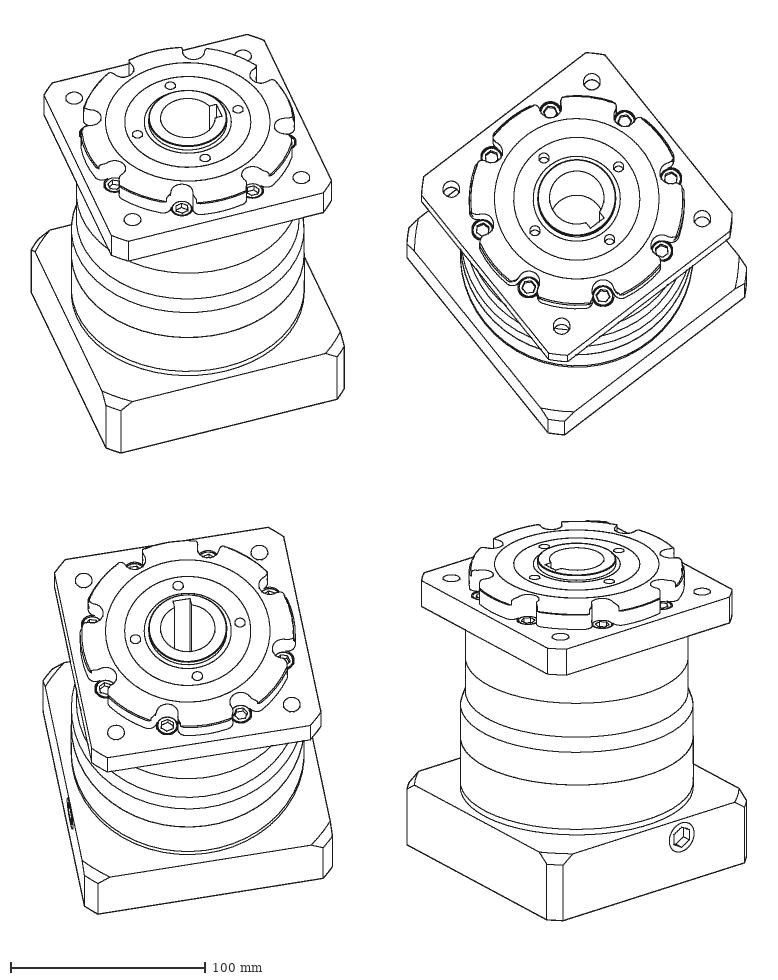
import cadquery as cq
import math


bevel_bottom_z = 31.5
plate_top_z = 36.1
adapter_top_z = 39.3
step_z = 64.4
cone_bottom_z = 82.8
cone_top_z = 90.3
gear_housing_top_z = 109.4
flange_bottom_z = 135.6
flange_top_z = 150.3
rim_bottom_z = 158.4
face_z = 162.2
total_height = 165.0

plate_side = 130.0
plate_corner_radius = 87.8
plate_bevel_radius = 83.7

plug_y = -18.2
plug_z = 25.9
plug_radius = 8.1
plug_length = 13.2
plug_hex_flats = 9.9
plug_hex_depth = 5.0

body_radius = 60.0
neck_radius = 57.5
step_height = 0.08

flange_side = 120.1
flange_corner_radius = 80.2
mount_hole_spacing = 92.0
mount_hole_radius = 4.3

boss_radius = 55.5
rim_radius = 54.6
rim_fillet = 2.0
mouth_fillet = 4.1

screw_count = 8
screw_pitch = 360 / screw_count
first_screw_angle = screw_pitch / 2
screw_circle_radius = 50.3
screw_notch_radius = 5.6
screw_head_radius = 5.0
screw_seat_depth = 1.6
screw_head_drop = 0.2
screw_hex_flats = 6.1
screw_hex_depth = 3.3
screw_hex_angle = 30.0

seal_radius = 42.4
shaft_flange_radius = 32.5
shaft_ring_radius = 22.5
hub_radius = 20.1
hub_chamfer = 0.3
bore_radius = 14.0
key_width = 8.9
key_top_y = 17.2
tap_count = 4
tap_circle_radius = 27.4
tap_radius = 2.6
tap_depth = 9.9


def cylinder(radius, bottom_z, top_z):
    return cq.Workplane("XY", origin=(0, 0, bottom_z)).circle(radius).extrude(top_z - bottom_z)


def tube(outer_radius, inner_radius, bottom_z, top_z):
    ring = cq.Workplane("XY", origin=(0, 0, bottom_z)).circle(outer_radius).circle(inner_radius)
    return ring.extrude(top_z - bottom_z)


def square_block(side, bottom_z, top_z):
    return cq.Workplane("XY", origin=(0, 0, bottom_z)).rect(side, side).extrude(top_z - bottom_z)


def revolved(outline):
    """Solid of revolution about Z from (radius, z) points."""
    return cq.Workplane("XZ").polyline(outline).close().revolve(360, (0, 0, 0), (0, 1, 0))


def hexagon_diameter(across_flats):
    return across_flats / math.cos(math.pi / 6)


def make_adapter():
    """Square plate with turned, bevelled corners, a low round spigot and a hole for the plug."""
    corner_turning = revolved([
        (0, 0),
        (plate_corner_radius, 0),
        (plate_corner_radius, bevel_bottom_z),
        (plate_bevel_radius, plate_top_z),
        (0, plate_top_z),
    ])
    plate = square_block(plate_side, 0, plate_top_z).intersect(corner_turning)
    spigot = cylinder(body_radius, bevel_bottom_z, adapter_top_z)
    return plate.union(spigot).cut(make_plug_blank())


def plug_plane():
    return cq.Workplane("YZ", origin=(-plate_side / 2, plug_y, plug_z))


def make_plug_blank():
    return plug_plane().circle(plug_radius).extrude(plug_length)


def make_plug():
    """Plug flush with the plate side; its socket has two corners in line with Z."""
    hexagon = plug_plane().transformed(rotate=(0, 0, 30)).polygon(6, hexagon_diameter(plug_hex_flats))
    return make_plug_blank().cut(hexagon.extrude(plug_hex_depth))


def make_gear_housing():
    """Round housing with a slight step and a cone down to the neck."""
    upper_radius = body_radius - step_height
    return revolved([
        (0, adapter_top_z),
        (body_radius, adapter_top_z),
        (body_radius, step_z),
        (upper_radius, step_z),
        (upper_radius, cone_bottom_z),
        (neck_radius, cone_top_z),
        (neck_radius, gear_housing_top_z),
        (0, gear_housing_top_z),
    ])


def at_each_screw(tool):
    """Combines copies of a tool, made at the first screw, into one tool for all the screws."""
    tools = tool
    for index in range(1, screw_count):
        tools = tools.union(tool.rotate((0, 0, 0), (0, 0, 1), index * screw_pitch))
    return tools


def screw_plane(z):
    angle = math.radians(first_screw_angle)
    x = screw_circle_radius * math.cos(angle)
    y = screw_circle_radius * math.sin(angle)
    return cq.Workplane("XY", origin=(x, y, z))


def make_boss():
    """Round boss, notched into lobes with rounded mouths, narrower and rounded at its rim."""
    height = face_z - flange_top_z
    notch = screw_plane(flange_top_z).circle(screw_notch_radius).extrude(height)
    boss = cylinder(boss_radius, flange_top_z, face_z).cut(at_each_screw(notch))
    boss = boss.edges("|Z").fillet(mouth_fillet)

    rim_turning = (
        cq.Workplane("XZ")
        .moveTo(rim_radius, rim_bottom_z)
        .lineTo(rim_radius, face_z - rim_fillet)
        .radiusArc((rim_radius - rim_fillet, face_z), -rim_fillet)
        .lineTo(boss_radius + rim_fillet, face_z)
        .lineTo(boss_radius + rim_fillet, rim_bottom_z)
        .close()
        .revolve(360, (0, 0, 0), (0, 1, 0))
    )
    return boss.cut(rim_turning)


def make_screw_recesses():
    """Ring round each screw head, the drop of the head below the flange, and its hexagon socket."""
    seat_z = flange_top_z - screw_seat_depth
    seat = screw_plane(seat_z).circle(screw_notch_radius).extrude(screw_seat_depth)
    head = screw_plane(seat_z).circle(screw_head_radius).extrude(screw_seat_depth - screw_head_drop)
    hexagon = (
        screw_plane(flange_top_z)
        .transformed(rotate=(0, 0, screw_hex_angle))
        .polygon(6, hexagon_diameter(screw_hex_flats))
        .extrude(-screw_hex_depth)
    )
    return at_each_screw(seat.cut(head).union(hexagon))


def make_output_housing():
    """Neck, square flange and lobed boss, bored for the shaft flange."""
    neck = cylinder(neck_radius, gear_housing_top_z, flange_bottom_z)
    corner_turning = cylinder(flange_corner_radius, flange_bottom_z, flange_top_z)
    flange = square_block(flange_side, flange_bottom_z, flange_top_z).intersect(corner_turning)
    mount_holes = (
        cq.Workplane("XY", origin=(0, 0, flange_bottom_z))
        .rect(mount_hole_spacing, mount_hole_spacing, forConstruction=True)
        .vertices()
        .circle(mount_hole_radius)
        .extrude(flange_top_z - flange_bottom_z)
    )
    shaft_bore = cylinder(shaft_flange_radius, gear_housing_top_z, face_z)
    seal_seat = tube(seal_radius, shaft_flange_radius, face_z - step_height, face_z)
    housing = neck.union(flange.cut(mount_holes)).union(make_boss())
    return housing.cut(make_screw_recesses()).cut(shaft_bore).cut(seal_seat)


def make_output_shaft():
    """Flanged hollow shaft with a keyway towards +Y and tapped holes round its hub."""
    shaft_flange = cylinder(shaft_flange_radius, gear_housing_top_z, face_z)
    hub = cylinder(hub_radius, gear_housing_top_z, total_height).faces(">Z").chamfer(hub_chamfer)
    hub_groove = tube(shaft_ring_radius, hub_radius, face_z - step_height, face_z)
    taps = (
        cq.Workplane("XY", origin=(0, 0, face_z))
        .polarArray(tap_circle_radius, 0, 360, tap_count)
        .circle(tap_radius)
        .extrude(-tap_depth)
    )
    bore = cylinder(bore_radius, gear_housing_top_z, total_height)
    keyway = (
        cq.Workplane("XY", origin=(0, key_top_y / 2, gear_housing_top_z))
        .rect(key_width, key_top_y)
        .extrude(total_height - gear_housing_top_z)
    )
    return shaft_flange.cut(taps).cut(hub_groove).union(hub).cut(bore).cut(keyway)


adapter = make_adapter()
plug = make_plug()
gear_housing = make_gear_housing()
output_housing = make_output_housing()
output_shaft = make_output_shaft()

result = cq.Compound.makeCompound([
    adapter.val(),
    plug.val(),
    gear_housing.val(),
    output_housing.val(),
    output_shaft.val(),
])